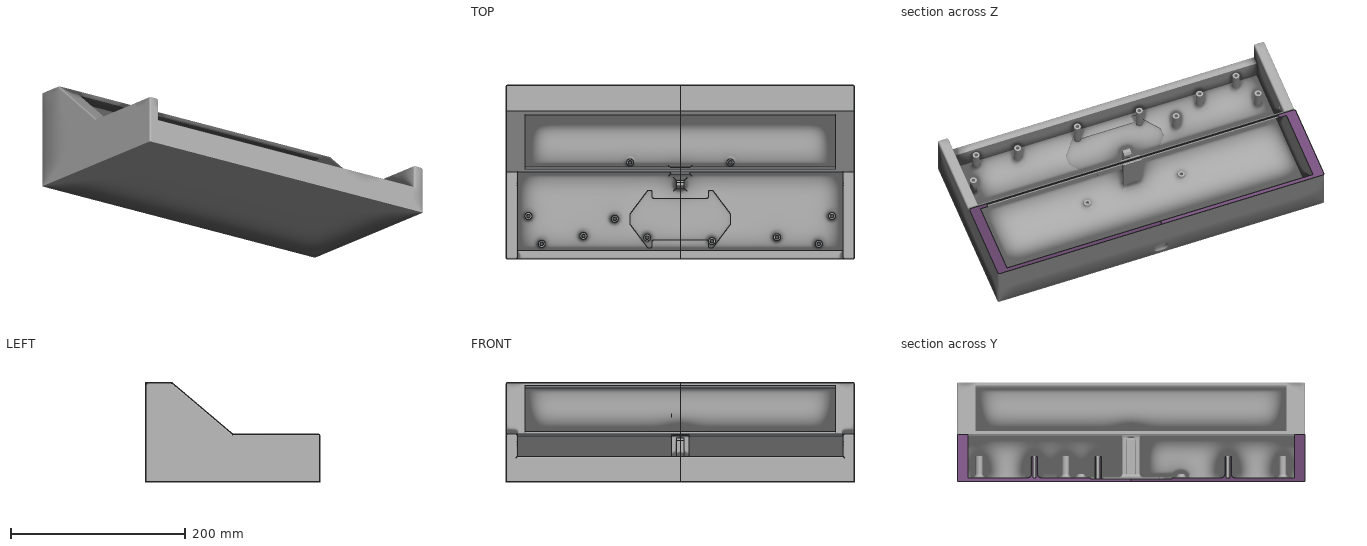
import cadquery as cq
import math


WIDTH = 400.0
DEPTH = 200.0
HEIGHT = 114.0
DECK_HEIGHT = 55.0
ROOF_DEPTH = 30.0
SLOPE_FRONT_Y = 0.0
EDGE_FILLET = 2.0

SIDE_WALL = 13.0
FRONT_WALL = 10.0
BACK_WALL = 5.0
FLOOR = 5.0
PANEL = 3.0
LIP_HEIGHT = 29.0

WINDOW_WIDTH = 357.0
WINDOW_TOP_Z = 110.5
WINDOW_BOTTOM_Z = 58.0

CABLE_SLOT_WIDTH = 17.5
CABLE_SLOT_HEIGHT = 12.0

SOCKET_DIAMETER = 4.5
SOCKET_DEPTH = 10.0
SOCKET_HEIGHTS = [40.0, 76.0]

SIDE_HOLE_DIAMETER = 3.0
SIDE_HOLE_DEPTH = 4.0
SIDE_HOLE_Y = -14.0
SIDE_HOLE_Z = 44.0

POST_DIAMETER = 8.0
POST_BORE = 4.0
ROOT_FILLET = 4.0
POST_TOP = LIP_HEIGHT
SHORT_POST_TOP = FLOOR + ROOT_FILLET
TALL_POST_SPOTS = [
    (-174.5, -50.5), (-159.0, -82.5), (-111.0, -73.0), (-75.0, -53.5),
    (174.5, -50.5), (159.0, -82.5), (111.0, -75.0)]
SHORT_POST_X = 57.5
SHORT_POST_YS = [11.0, 86.5]
LOOSE_POST_SPOTS = [(-38.0, -75.0), (36.5, -79.0)]

PEG_SIZE = 9.0
PEG_Y = -14.0
PEG_TOP = 50.0
PEG_CHAMFER = 2.5
STRUT_WIDTH = 20.0
STRUT_DEPTH = 5.0
STRUT_Y = 1.5
HAUNCH_BOTTOM = 50.0
HAUNCH_TOP = 53.0

RECESS_DEPTH = 1.5
RECESS_Y = -54.0
RECESS_HALF_WIDTH = 58.0
RECESS_END_HALF_HEIGHT = 5.5
EAR_INNER_X = 32.5
EAR_OUTER_X = 37.0
EAR_HALF_HEIGHT = 33.0
WAIST_HALF_HEIGHT = 24.0
RECESS_CORNER = 2.0

FRONT_Y = -DEPTH / 2
BACK_Y = DEPTH / 2
INNER_FRONT_Y = FRONT_Y + FRONT_WALL
INNER_BACK_Y = BACK_Y - BACK_WALL
ROOF_FRONT_Y = BACK_Y - ROOF_DEPTH
INNER_WIDTH = WIDTH - 2 * SIDE_WALL

SLOPE_RUN = ROOF_FRONT_Y - SLOPE_FRONT_Y
SLOPE_RISE = HEIGHT - DECK_HEIGHT
SLOPE_LENGTH = math.hypot(SLOPE_RUN, SLOPE_RISE)
INWARD_Y = SLOPE_RISE / SLOPE_LENGTH
INWARD_Z = -SLOPE_RUN / SLOPE_LENGTH

TOLERANCE = 0.05
CLEAR = 4.0


def slope_point(z, inset):
    """(y, z) at height z on the outer slope, moved into the case by inset."""
    y = SLOPE_FRONT_Y + (z - DECK_HEIGHT) * SLOPE_RUN / SLOPE_RISE
    return (y + inset * INWARD_Y, z + inset * INWARD_Z)


def side_prism(outline, width):
    """Extrude a (y, z) outline along X, centred on the seam."""
    return cq.Workplane("YZ").polyline(outline).close().extrude(width / 2, both=True)


def block(width, depth, y, bottom, top):
    """Upright block centred on the seam."""
    return cq.Workplane("XY", origin=(0, y, bottom)).rect(width, depth).extrude(top - bottom)



def outer_body():
    return side_prism([
        (FRONT_Y, 0), (BACK_Y, 0), (BACK_Y, HEIGHT), (ROOF_FRONT_Y, HEIGHT),
        (SLOPE_FRONT_Y, DECK_HEIGHT), (FRONT_Y, DECK_HEIGHT)], WIDTH)


def deck_pocket():
    """Open space between the front wall and the foot of the slope."""
    depth = SLOPE_FRONT_Y - INNER_FRONT_Y
    return block(INNER_WIDTH, depth, INNER_FRONT_Y + depth / 2, FLOOR, HEIGHT)


def front_opening():
    """Gap above the low front wall."""
    depth = FRONT_WALL + CLEAR
    return block(INNER_WIDTH, depth, INNER_FRONT_Y - depth / 2, LIP_HEIGHT, HEIGHT)


def round_edges(shell):
    side_edges = shell.faces("<X or >X").edges("not <Z").vals()
    front_edges = [
        edge for edge in shell.faces("<Y").edges("not <Z").vals()
        if abs(edge.Center().x) < WIDTH / 2 - TOLERANCE]
    inner_edges = [
        edge for edge in shell.edges("|Y").vals()
        if abs(abs(edge.Center().x) - INNER_WIDTH / 2) < TOLERANCE
        and abs(edge.Center().z - DECK_HEIGHT) < TOLERANCE]
    return shell.newObject(side_edges + front_edges + inner_edges).fillet(EDGE_FILLET)


def rear_cavity():
    """Space under the roof and the sloped panel, open towards the deck."""
    inner_roof = HEIGHT - PANEL
    roof_corner_y = slope_point(inner_roof - PANEL * INWARD_Z, PANEL)[0]
    return side_prism([
        (INNER_FRONT_Y, FLOOR), (INNER_BACK_Y, FLOOR), (INNER_BACK_Y, inner_roof),
        (roof_corner_y, inner_roof), slope_point(DECK_HEIGHT, PANEL),
        (SLOPE_FRONT_Y, DECK_HEIGHT), (INNER_FRONT_Y, DECK_HEIGHT)], INNER_WIDTH)


def window():
    """Cut square to the slope, through the panel."""
    reach = 2 * PANEL
    return side_prism([
        slope_point(WINDOW_TOP_Z, -reach), slope_point(WINDOW_TOP_Z, reach),
        slope_point(WINDOW_BOTTOM_Z, reach), slope_point(WINDOW_BOTTOM_Z, -reach)], WINDOW_WIDTH)


def cable_slot():
    return (cq.Workplane("XZ", origin=(0, BACK_Y + CLEAR, FLOOR + CABLE_SLOT_HEIGHT / 2))
            .slot2D(CABLE_SLOT_WIDTH, CABLE_SLOT_HEIGHT).extrude(BACK_WALL + CLEAR))


def dowel_socket(z):
    return (cq.Workplane("YZ", origin=(-SOCKET_DEPTH, BACK_Y - BACK_WALL / 2, z))
            .circle(SOCKET_DIAMETER / 2).extrude(SOCKET_DEPTH))


def side_holes():
    """Both blind side holes, as one cylinder across the interior."""
    return (cq.Workplane("YZ", origin=(0, SIDE_HOLE_Y, SIDE_HOLE_Z))
            .circle(SIDE_HOLE_DIAMETER / 2)
            .extrude(INNER_WIDTH / 2 + SIDE_HOLE_DEPTH, both=True))


def recess():
    quarter = [
        (EAR_INNER_X, WAIST_HALF_HEIGHT), (EAR_INNER_X, EAR_HALF_HEIGHT),
        (EAR_OUTER_X, EAR_HALF_HEIGHT), (RECESS_HALF_WIDTH, RECESS_END_HALF_HEIGHT)]
    right_side = quarter + [(x, -y) for x, y in reversed(quarter)]
    left_side = [(-x, -y) for x, y in right_side]
    return (cq.Workplane("XY", origin=(0, RECESS_Y, FLOOR - RECESS_DEPTH))
            .polyline(right_side + left_side).close().extrude(RECESS_DEPTH)
            .edges("|Z").fillet(RECESS_CORNER))



def tube(x, y, bottom, top):
    """Plain bored standoff."""
    return (cq.Workplane("XY", origin=(x, y, bottom))
            .circle(POST_DIAMETER / 2).circle(POST_BORE / 2).extrude(top - bottom))


def rooted_post(x, y, top):
    """Bored standoff whose foot flares into the floor."""
    bore = POST_BORE / 2
    radius = POST_DIAMETER / 2
    arc_mid = ROOT_FILLET * (1 - math.sqrt(0.5))
    root = (cq.Workplane("XZ", origin=(x, y, FLOOR))
            .moveTo(bore, 0).lineTo(radius + ROOT_FILLET, 0)
            .threePointArc((radius + arc_mid, arc_mid), (radius, ROOT_FILLET))
            .lineTo(bore, ROOT_FILLET).close()
            .revolve(360, (0, 0, 0), (0, 1, 0)))
    return root.union(tube(x, y, FLOOR, top))


def flared_block(width, depth, y, bottom, top, arc_z):
    """Block wider than a pillar, hollowed on all four sides by arcs centred at arc_z."""
    flare = block(width + 2 * ROOT_FILLET, depth + 2 * ROOT_FILLET, y, bottom, top)
    for side in (-1, 1):
        beside = (cq.Workplane("XZ", origin=(side * (width / 2 + ROOT_FILLET), y, arc_z))
                  .circle(ROOT_FILLET).extrude(depth + 2 * ROOT_FILLET, both=True))
        in_front = (cq.Workplane("YZ", origin=(0, y + side * (depth / 2 + ROOT_FILLET), arc_z))
                    .circle(ROOT_FILLET).extrude(width + 2 * ROOT_FILLET, both=True))
        flare = flare.cut(beside).cut(in_front)
    return flare


def pillar_root(width, depth, y):
    top = FLOOR + ROOT_FILLET
    return flared_block(width, depth, y, FLOOR, top, top)


def peg():
    pillar = block(PEG_SIZE, PEG_SIZE, PEG_Y, FLOOR, PEG_TOP)
    pillar = pillar.faces(">Z").edges("|X").chamfer(PEG_CHAMFER)
    return pillar.union(pillar_root(PEG_SIZE, PEG_SIZE, PEG_Y))


def strut():
    """Pillar that carries the front edge of the sloped panel."""
    pillar = block(STRUT_WIDTH, STRUT_DEPTH, STRUT_Y, FLOOR, HEIGHT)
    haunch = flared_block(
        STRUT_WIDTH, STRUT_DEPTH, STRUT_Y, HAUNCH_BOTTOM, HAUNCH_TOP, HAUNCH_BOTTOM)
    below_slope = side_prism([
        slope_point(0, PANEL / 2), (BACK_Y, 0),
        (BACK_Y, HEIGHT), slope_point(HEIGHT, PANEL / 2)], INNER_WIDTH)
    return pillar.intersect(below_slope).union(haunch).union(pillar_root(STRUT_WIDTH, STRUT_DEPTH, STRUT_Y))



def whole_case():
    shell = round_edges(outer_body().cut(deck_pocket()).cut(front_opening()))
    shell = shell.cut(rear_cavity()).cut(window()).cut(cable_slot()).cut(recess()).cut(side_holes())
    for z in SOCKET_HEIGHTS:
        shell = shell.cut(dowel_socket(z))
    for x, y in TALL_POST_SPOTS:
        shell = shell.union(rooted_post(x, y, POST_TOP))
    for x in (-SHORT_POST_X, SHORT_POST_X):
        for y in SHORT_POST_YS:
            shell = shell.union(rooted_post(x, y, SHORT_POST_TOP))
    return shell.union(peg()).union(strut())


def case_half(case, side):
    """The part of the case on one side of the seam: -1 left, 1 right."""
    half_space = block(WIDTH, DEPTH, 0, 0, HEIGHT).translate((side * WIDTH / 2, 0, 0))
    return case.intersect(half_space).solids().val()


def loose_standoff(x, y):
    """Standoff resting on the floor of the recess."""
    return tube(x, y, FLOOR - RECESS_DEPTH, POST_TOP).val()


case = whole_case()
left_case = case_half(case, -1)
right_case = case_half(case, 1)
loose_standoffs = [loose_standoff(x, y) for x, y in LOOSE_POST_SPOTS]

result = cq.Compound.makeCompound([left_case, right_case, *loose_standoffs])